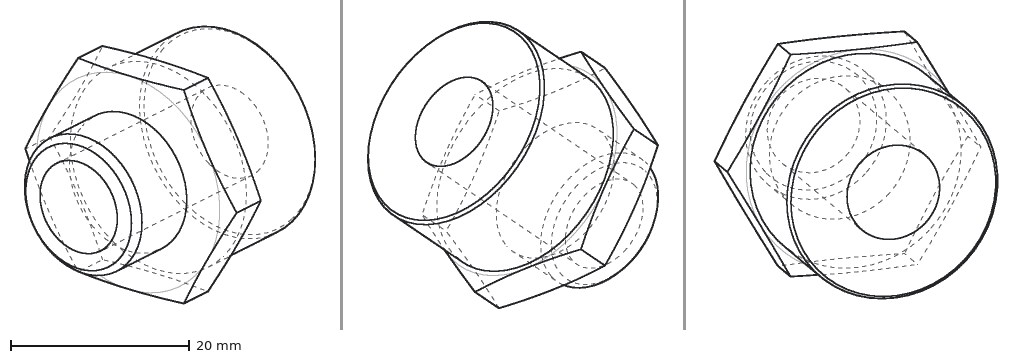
import cadquery as cq
import math

hex_corner_diameter = 30.02
hex_length = 5.5
hex_chamfer_angle = 15.0
spigot_diameter = 16.7
spigot_length = 9.0
spigot_chamfer = 0.85
body_diameter = 25.0
body_length = 13.0
body_chamfer = 0.35
bore_diameter = 11.0

hex_corner_radius = hex_corner_diameter / 2
hex_flat_radius = hex_corner_radius * math.cos(math.radians(30))
corner_drop = (hex_corner_radius - hex_flat_radius) * math.tan(math.radians(hex_chamfer_angle))
spigot_radius = spigot_diameter / 2
body_radius = body_diameter / 2
bore_radius = bore_diameter / 2

spigot_end = -spigot_length
body_start = hex_length
body_end = body_start + body_length


def revolve_about_y(points):
    """Turn a closed (radius, y) outline around the Y axis."""
    return cq.Workplane("XY").polyline(points).close().revolve(360, (0, 0, 0), (0, 1, 0))


def make_hexagon():
    """Hexagonal collar with corners on X, its corners bevelled at both faces."""
    prism = (
        cq.Workplane("XZ")
        .polygon(6, hex_corner_diameter)
        .extrude(-hex_length)
    )
    bevel_envelope = revolve_about_y([
        (0, 0),
        (hex_flat_radius, 0),
        (hex_corner_radius, corner_drop),
        (hex_corner_radius, hex_length - corner_drop),
        (hex_flat_radius, hex_length),
        (0, hex_length),
    ])
    return prism.intersect(bevel_envelope)


def make_turned_body():
    """Spigot and large cylinder, each chamfered at its outer end."""
    return revolve_about_y([
        (0, spigot_end),
        (spigot_radius - spigot_chamfer, spigot_end),
        (spigot_radius, spigot_end + spigot_chamfer),
        (spigot_radius, body_start),
        (body_radius, body_start),
        (body_radius, body_end - body_chamfer),
        (body_radius - body_chamfer, body_end),
        (0, body_end),
    ])


def make_bore():
    """Through bore along the whole length."""
    return revolve_about_y([
        (0, spigot_end),
        (bore_radius, spigot_end),
        (bore_radius, body_end),
        (0, body_end),
    ])


result = make_turned_body().union(make_hexagon()).cut(make_bore())